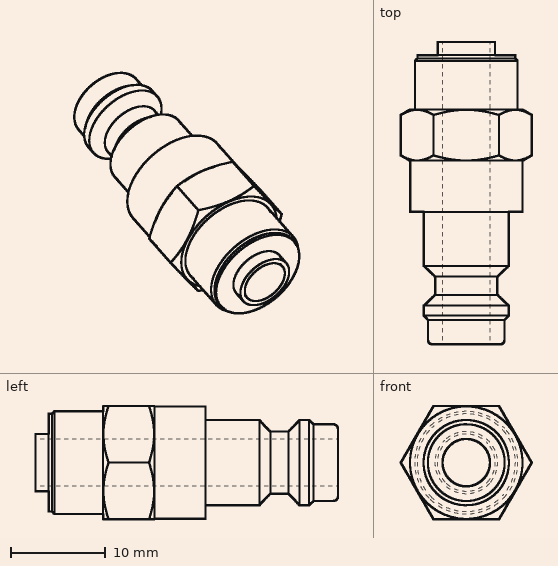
import cadquery as cq
import math

total_length = 32.0
bore_radius = 2.5

tip_radius = 4.05
tip_rounding = 0.5
tip_length = 2.6
plug_radius = 4.5
rim_start = 3.07
rim_end = 4.1
groove_radius = 3.3
groove_start = 5.25
groove_end = 7.17
shank_start = 8.32

collar_start = 14.0
collar_radius = 5.95
hex_start = 19.42
hex_end = 24.83
hex_across_flats = 12.0
hex_across_corners = hex_across_flats / math.cos(math.radians(30))
hex_chamfer_angle = 30.0
hex_face_radius = 5.95

nut_radius = 5.45
nut_end = 30.0
lip_radius = 5.2
lip_start = 30.25
lip_end = 30.6
spigot_radius = 3.05


def revolve_about_y(profile):
    """Turn a closed half profile, drawn as (radius, y), about the Y axis."""
    return profile.close().revolve(360, (0, 0, 0), (0, 1, 0))


def turned_body():
    """Stepped outside of the coupling, including its locking groove."""
    arc_offset = tip_rounding * (1 - math.sqrt(0.5))
    profile = (
        cq.Workplane("XY")
        .lineTo(tip_radius - tip_rounding, 0)
        .threePointArc((tip_radius - arc_offset, arc_offset), (tip_radius, tip_rounding))
        .lineTo(tip_radius, tip_length)
        .lineTo(plug_radius, rim_start)
        .lineTo(plug_radius, rim_end)
        .lineTo(groove_radius, groove_start)
        .lineTo(groove_radius, groove_end)
        .lineTo(plug_radius, shank_start)
        .lineTo(plug_radius, collar_start)
        .lineTo(collar_radius, collar_start)
        .lineTo(collar_radius, hex_start)
        .lineTo(nut_radius, hex_start)
        .lineTo(nut_radius, nut_end)
        .lineTo(lip_radius, lip_start)
        .lineTo(lip_radius, lip_end)
        .lineTo(spigot_radius, lip_end)
        .lineTo(spigot_radius, total_length)
        .lineTo(0, total_length)
    )
    return revolve_about_y(profile)


def chamfered_hexagon():
    """Wrench hexagon with corners on X, its corners turned off conically at both ends."""
    corner_radius = hex_across_corners / 2
    chamfer_length = (corner_radius - hex_face_radius) * math.tan(math.radians(hex_chamfer_angle))
    hexagon = (
        cq.Workplane("XZ", origin=(0, hex_start, 0))
        .polygon(6, hex_across_corners)
        .extrude(hex_start - hex_end)
    )
    envelope = (
        cq.Workplane("XY")
        .moveTo(0, hex_start)
        .lineTo(hex_face_radius, hex_start)
        .lineTo(corner_radius, hex_start + chamfer_length)
        .lineTo(corner_radius, hex_end - chamfer_length)
        .lineTo(hex_face_radius, hex_end)
        .lineTo(0, hex_end)
    )
    return hexagon.intersect(revolve_about_y(envelope))


bore = cq.Workplane("XZ").circle(bore_radius).extrude(-total_length)

result = turned_body().union(chamfered_hexagon()).cut(bore)